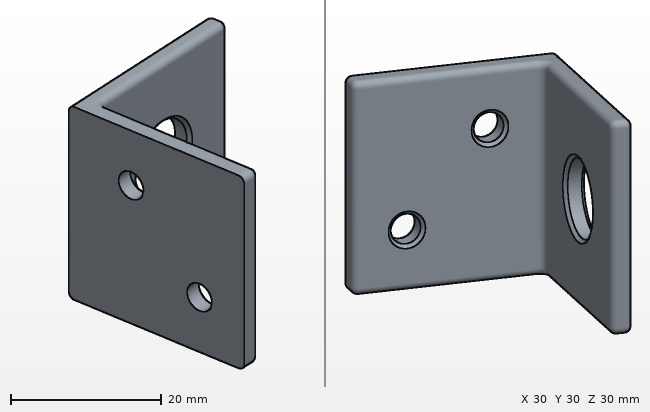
import cadquery as cq

side = 30.0
thickness = 3.0
edge_radius = 1.0
mid_height = side / 2
plate_middle = (thickness + side) / 2

bore_diameter = 11.0

screw_diameter = 4.2
screw_offset_x = 5.85
screw_offset_z = 6.48

mouth_chamfer = 0.5


def angle_blank():
    """L-shaped prism with a rounded inside corner."""
    outline = [
        (0, 0),
        (side, 0),
        (side, thickness),
        (thickness, thickness),
        (thickness, side),
        (0, side),
    ]
    blank = cq.Workplane("XY").polyline(outline).close().extrude(side)
    inside_corner = cq.selectors.NearestToPointSelector((thickness, thickness, mid_height))
    return blank.edges(inside_corner).fillet(edge_radius)


def round_rims(body):
    """Round every edge except those of the -Y face and those along the inside corner."""
    near_corner = thickness + 2 * edge_radius

    def is_rim(edge):
        centre = edge.Center()
        on_front_face = centre.y < edge_radius / 2 and edge.BoundingBox().ylen < edge_radius
        along_inside_corner = max(centre.x, centre.y) < near_corner and edge.BoundingBox().zlen > edge_radius
        return not (on_front_face or along_inside_corner)

    return body.newObject(body.edges().filter(is_rim).vals()).fillet(edge_radius)


def mouth_cutter(diameter, center, inward):
    """Cone that chamfers the mouth of a hole; the inward direction points into the plate."""
    radius = diameter / 2
    return cq.Workplane(cq.Solid.makeCone(radius + mouth_chamfer, radius, mouth_chamfer, center, inward))


def cut_bore(body):
    """Bore chamfered on both faces of the -X plate."""
    bore = cq.Workplane("YZ").center(plate_middle, mid_height).circle(bore_diameter / 2).extrude(thickness)
    body = body.cut(bore)
    for face_x, direction in ((0, 1), (thickness, -1)):
        mouth_center = cq.Vector(face_x, plate_middle, mid_height)
        body = body.cut(mouth_cutter(bore_diameter, mouth_center, cq.Vector(direction, 0, 0)))
    return body


def cut_screw_holes(body):
    """Two holes on a diagonal through the -Y plate, chamfered on its inner face."""
    for sign in (1, -1):
        x = plate_middle - sign * screw_offset_x
        z = mid_height + sign * screw_offset_z
        hole = cq.Workplane("XZ").center(x, z).circle(screw_diameter / 2).extrude(-thickness)
        mouth = mouth_cutter(screw_diameter, cq.Vector(x, thickness, z), cq.Vector(0, -1, 0))
        body = body.cut(hole).cut(mouth)
    return body


bracket = round_rims(angle_blank())
result = cut_screw_holes(cut_bore(bracket))